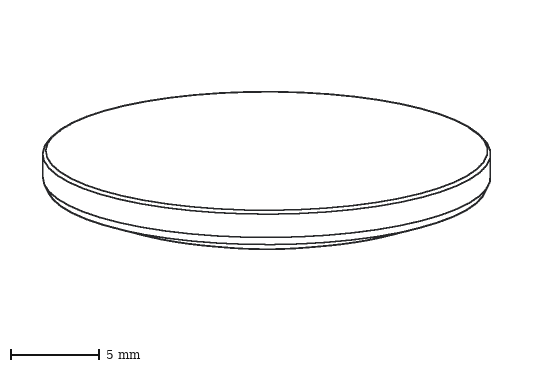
import cadquery as cq

lens_radius = 12.7
total_height = 4.6
convex_sag = 2.57
concave_sag = 1.1
top_chamfer = 0.18
bottom_chamfer_width = 0.23
bottom_chamfer_height = 0.48

convex_rim_z = convex_sag
side_bottom_z = convex_rim_z + bottom_chamfer_height
side_top_z = total_height - top_chamfer

concave_rim_radius = lens_radius - top_chamfer
convex_rim_radius = lens_radius - bottom_chamfer_width


def sphere_radius(rim_radius, sag):
    """Radius of the sphere whose cap has the given rim radius and sag."""
    return (rim_radius**2 + sag**2) / (2 * sag)


def mid_arc_point(rim_radius, sag, vertex_z):
    """Point halfway out on an upward-curving cap whose lowest point is at vertex_z."""
    sphere = sphere_radius(rim_radius, sag)
    mid_radius = rim_radius / 2
    return (mid_radius, vertex_z + sphere - (sphere**2 - mid_radius**2) ** 0.5)


concave_vertex_z = total_height - concave_sag

half_section = (
    cq.Workplane("XZ")
    .moveTo(0, 0)
    .threePointArc(
        mid_arc_point(convex_rim_radius, convex_sag, 0),
        (convex_rim_radius, convex_rim_z),
    )
    .lineTo(lens_radius, side_bottom_z)
    .lineTo(lens_radius, side_top_z)
    .lineTo(concave_rim_radius, total_height)
    .threePointArc(
        mid_arc_point(concave_rim_radius, concave_sag, concave_vertex_z),
        (0, concave_vertex_z),
    )
    .close()
)

result = half_section.revolve(360, (0, 0, 0), (0, 1, 0))